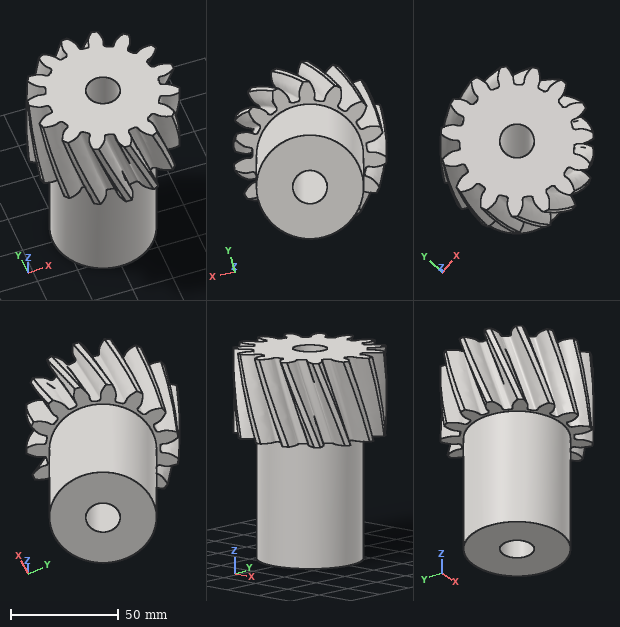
import cadquery as cq
import math

tooth_count = 15
normal_module = 4
normal_pressure_angle = math.radians(20)
helix_angle = math.radians(19.4)
first_tooth_angle = math.radians(4.3)
dedendum_factor = 1.25
root_fillet = 1.4
flank_points = 8
total_height = 100
gear_width = 40
hub_diameter = 50
bore_diameter = 16

pitch_radius = tooth_count * normal_module / math.cos(helix_angle) / 2
tip_radius = pitch_radius + normal_module
root_radius = pitch_radius - dedendum_factor * normal_module
pressure_angle = math.atan(math.tan(normal_pressure_angle) / math.cos(helix_angle))
base_radius = pitch_radius * math.cos(pressure_angle)
tooth_pitch = 2 * math.pi / tooth_count
twist_degrees = -math.degrees(gear_width * math.tan(helix_angle) / pitch_radius)
hub_height = total_height - gear_width


def polar(radius, angle):
    return (radius * math.cos(angle), radius * math.sin(angle))


def involute(angle):
    return math.tan(angle) - angle


def half_tooth_angle(radius):
    """Half the angle a tooth spans at a radius; below the base circle the flank is radial."""
    local_pressure = math.acos(min(1, base_radius / radius))
    return tooth_pitch / 4 + involute(pressure_angle) - involute(local_pressure)


fillet_centre_radius = root_radius + root_fillet
fillet_angle = math.asin(root_fillet / fillet_centre_radius)
foot_radius = fillet_centre_radius * math.cos(fillet_angle)
foot_angle = half_tooth_angle(base_radius)


def fillet_middle(center, side):
    """Middle of the root fillet on one side (-1 or 1) of a tooth."""
    cx, cy = polar(fillet_centre_radius, center + side * (foot_angle + fillet_angle))
    toward_root = center + side * (foot_angle + fillet_angle) + math.pi
    direction = toward_root + side * (math.pi / 2 - fillet_angle) / 2
    dx, dy = polar(root_fillet, direction)
    return (cx + dx, cy + dy)


def add_tooth(outline, center):
    """Continue the outline over one tooth and the root land after it."""
    radii = [
        foot_radius + (tip_radius - foot_radius) * i / (flank_points - 1)
        for i in range(flank_points)
    ]
    rising = [polar(r, center - half_tooth_angle(r)) for r in radii]
    falling = [polar(r, center + half_tooth_angle(r)) for r in reversed(radii)]
    root_end = center + foot_angle + fillet_angle
    next_root_start = center + tooth_pitch - foot_angle - fillet_angle
    return (
        outline.threePointArc(fillet_middle(center, -1), polar(foot_radius, center - foot_angle))
        .spline(rising[1:], includeCurrent=True)
        .threePointArc(polar(tip_radius, center), falling[0])
        .spline(falling[1:], includeCurrent=True)
        .threePointArc(fillet_middle(center, 1), polar(root_radius, root_end))
        .threePointArc(
            polar(root_radius, center + tooth_pitch / 2), polar(root_radius, next_root_start)
        )
    )


def make_gear():
    bottom_angle = first_tooth_angle - math.radians(twist_degrees)
    start = polar(root_radius, bottom_angle - foot_angle - fillet_angle)
    outline = cq.Workplane("XY").workplane(offset=hub_height).moveTo(*start)
    for i in range(tooth_count):
        outline = add_tooth(outline, bottom_angle + i * tooth_pitch)
    return outline.close().twistExtrude(gear_width, twist_degrees)


hub = cq.Workplane("XY").circle(hub_diameter / 2).extrude(hub_height)
bore = cq.Workplane("XY").circle(bore_diameter / 2).extrude(total_height)
result = make_gear().union(hub).cut(bore)